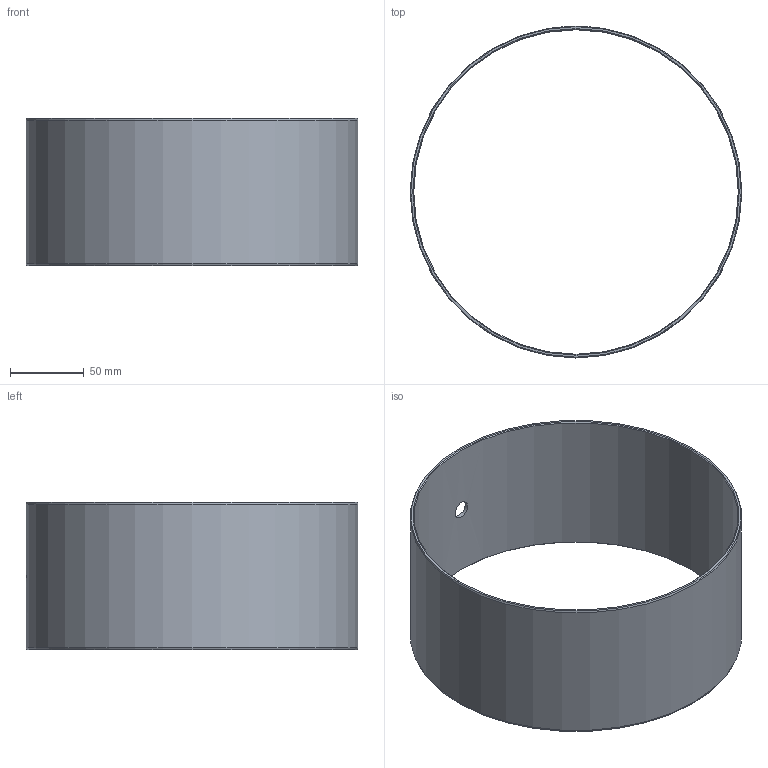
import cadquery as cq
import math

outer_diameter = 225.0
wall_thickness = 2.4
height = 100.0
outer_chamfer_height = 1.2
outer_chamfer_angle = 20.0
inner_chamfer = 0.6
hole_diameter = 12.0

outer_radius = outer_diameter / 2
inner_radius = outer_radius - wall_thickness
outer_chamfer_depth = outer_chamfer_height * math.tan(math.radians(outer_chamfer_angle))
hole_height = height / 2


def make_ring():
    """Tube standing on Z = 0, with the outer and inner edges of both rims chamfered."""
    rim_outer_radius = outer_radius - outer_chamfer_depth
    rim_inner_radius = inner_radius + inner_chamfer
    wall_section = [
        (rim_inner_radius, 0),
        (rim_outer_radius, 0),
        (outer_radius, outer_chamfer_height),
        (outer_radius, height - outer_chamfer_height),
        (rim_outer_radius, height),
        (rim_inner_radius, height),
        (inner_radius, height - inner_chamfer),
        (inner_radius, inner_chamfer),
    ]
    return cq.Workplane("XZ").polyline(wall_section).close().revolve(360, (0, 0, 0), (0, 1, 0))


def make_side_hole():
    """Radial cutter from the tube axis out through the +Y wall only."""
    return (
        cq.Workplane("XZ")
        .center(0, hole_height)
        .circle(hole_diameter / 2)
        .extrude(-outer_diameter)
    )


result = make_ring().cut(make_side_hole())